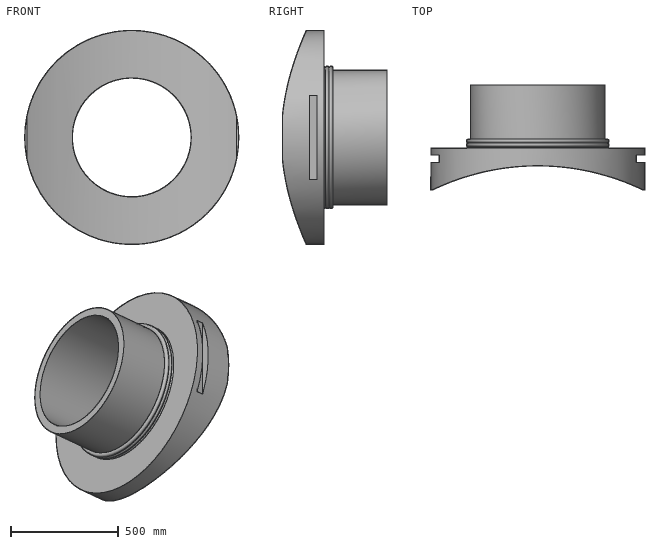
import cadquery as cq

flange_radius = 500.0
saddle_tip_y = -195.0
saddle_crown_y = -83.0
saddle_half_width = 490.0
pipe_end_y = 295.0
pipe_radius = 315.0
bore_radius = 277.0

bead_count = 3
bead_section_radius = 9.0
bead_outer_radius = 333.0
first_bead_y = -3.0

slot_floor_x = 460.0
slot_back_y = -33.0
slot_width = 34.0

saddle_rise = saddle_crown_y - saddle_tip_y
saddle_radius = (saddle_half_width**2 + saddle_rise**2) / (2 * saddle_rise)


def cylinder_along_y(radius, start_y, end_y):
    """Solid cylinder on the Y axis from start_y to end_y."""
    length = end_y - start_y
    return cq.Workplane("XZ", origin=(0, end_y, 0)).circle(radius).extrude(length)


def make_flange():
    """Round disc with its front hollowed by a cylinder running along Z."""
    disc = cylinder_along_y(flange_radius, saddle_tip_y, 0)
    saddle = (
        cq.Workplane("XY")
        .center(0, saddle_crown_y - saddle_radius)
        .circle(saddle_radius)
        .extrude(flange_radius + 10, both=True)
    )
    return disc.cut(saddle)


def make_bead(centre_y):
    """Ring of circular section around the pipe."""
    ring_radius = bead_outer_radius - bead_section_radius
    ring = cq.Solid.makeTorus(
        ring_radius, bead_section_radius, cq.Vector(0, centre_y, 0), cq.Vector(0, 1, 0)
    )
    sleeve = cylinder_along_y(
        ring_radius, centre_y - bead_section_radius, centre_y + bead_section_radius
    )
    return sleeve.union(cq.Workplane(ring))


def make_slot(side):
    """Straight cutter for the rim slot at the +X or -X end."""
    depth = flange_radius - slot_floor_x
    return cq.Workplane("XY").box(depth, slot_width, 2 * flange_radius).translate(
        (side * (slot_floor_x + depth / 2), slot_back_y - slot_width / 2, 0)
    )


result = make_flange()
result = result.union(cylinder_along_y(pipe_radius, 0, pipe_end_y))
for index in range(bead_count):
    result = result.union(make_bead(first_bead_y + index * 2 * bead_section_radius))

result = result.cut(cylinder_along_y(bore_radius, saddle_tip_y, pipe_end_y))
for side in (-1, 1):
    result = result.cut(make_slot(side))